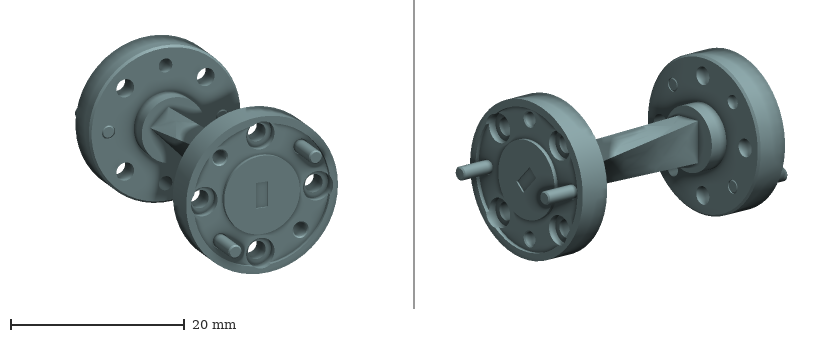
import cadquery as cq
import math

overall_length = 39.5
face_to_face = 31.75
half_length = face_to_face / 2

flange_diameter = 19.05
flange_thickness = 4.06
flange_chamfer = 0.25
boss_diameter = 7.95
boss_length = 2.27

recess_outer_diameter = 17.2
recess_inner_diameter = 9.5
recess_depth = 0.5

bolt_circle_radius = 14.29 / 2
screw_hole_diameter = 2.2
counterbore_diameter = 3.55
counterbore_depth = 1.5
align_hole_diameter = 1.7
align_hole_chamfer = 0.15

pin_diameter = 1.65
pin_chamfer = 0.17
pin_hole_chamfer = 0.1
left_pin_projection = 3.85
right_pin_projection = overall_length - face_to_face - left_pin_projection

tube_width = 5.05
tube_height = 3.2
opening_width = 3.1
opening_height = 1.55
opening_depth = 0.2
twist_angle = 45.0

quarter_turn = 90.0
half_turn = 2 * quarter_turn
screw_hole_count = 4

left_pin_angle = 0.0
right_pin_angle = left_pin_angle + twist_angle
left_long_axis = 135.0
right_long_axis = left_long_axis - twist_angle


def circle_point(angle):
    """Point (y, z) of the bolt circle at the given angle."""
    radians = math.radians(angle)
    return bolt_circle_radius * math.cos(radians), bolt_circle_radius * math.sin(radians)


def rod(diameter, x_start, x_end, center=(0, 0)):
    """Cylinder along X from x_start to x_end, centred at (y, z)."""
    return cq.Workplane("YZ", origin=(x_start, *center)).circle(diameter / 2).extrude(x_end - x_start)


def hole_mouth(diameter, chamfer, x, center):
    """Cone that chamfers the edge of a hole opening towards -X at x."""
    radius = diameter / 2
    base = cq.Vector(x, *center)
    return cq.Workplane(obj=cq.Solid.makeCone(radius + chamfer, radius, chamfer, base, cq.Vector(1, 0, 0)))


def rectangle_wire(x, width, height, long_axis):
    """Rectangle across the X axis with its long side along the long_axis angle."""
    turn = math.radians(long_axis)
    corners = []
    for along, across in ((1, 1), (-1, 1), (-1, -1), (1, -1)):
        u = along * width / 2
        v = across * height / 2
        y = u * math.cos(turn) - v * math.sin(turn)
        z = u * math.sin(turn) + v * math.cos(turn)
        corners.append(cq.Vector(x, y, z))
    return cq.Wire.makePolygon(corners, close=True)


def rectangle_prism(x_start, x_end, width, height, start_axis, end_axis):
    """Ruled solid between two rectangles."""
    start = rectangle_wire(x_start, width, height, start_axis)
    end = rectangle_wire(x_end, width, height, end_axis)
    return cq.Workplane(obj=cq.Solid.makeLoft([start, end], True))


def make_flange(pin_angle, long_axis):
    """Flange with its mating face at -X and its boss towards +X."""
    face = -half_length
    floor = face + recess_depth
    back = face + flange_thickness
    flange = rod(flange_diameter, face, back).faces(">X").chamfer(flange_chamfer)
    flange = flange.union(rod(boss_diameter, back, back + boss_length))

    recess = rod(recess_outer_diameter, face, floor).cut(rod(recess_inner_diameter, face, floor))
    flange = flange.cut(recess)

    for side in (0, half_turn):
        pin_point = circle_point(pin_angle + side)
        flange = flange.cut(rod(pin_diameter, face, back, pin_point))
        flange = flange.cut(hole_mouth(pin_diameter, pin_hole_chamfer, floor, pin_point))
        align_point = circle_point(pin_angle + quarter_turn + side)
        flange = flange.cut(rod(align_hole_diameter, face, back, align_point))
        flange = flange.cut(hole_mouth(align_hole_diameter, align_hole_chamfer, floor, align_point))

    for index in range(screw_hole_count):
        point = circle_point(pin_angle + quarter_turn / 2 + index * quarter_turn)
        flange = flange.cut(rod(screw_hole_diameter, face, back, point))
        flange = flange.cut(rod(counterbore_diameter, face, face + counterbore_depth, point))

    opening = rectangle_prism(face, face + opening_depth, opening_width, opening_height, long_axis, long_axis)
    return flange.cut(opening)


def make_twist():
    """Left flange, twisted tube and right flange as one solid."""
    tube_end = half_length - flange_thickness - boss_length
    tube = rectangle_prism(-tube_end, tube_end, tube_width, tube_height, left_long_axis, right_long_axis)
    left_flange = make_flange(left_pin_angle, left_long_axis)
    right_flange = make_flange(right_pin_angle, right_long_axis).mirror("YZ")
    return left_flange.union(tube).union(right_flange)


def make_pin(x_start, x_end, angle):
    """Dowel pin chamfered at both ends."""
    return rod(pin_diameter, x_start, x_end, circle_point(angle)).faces("<X or >X").chamfer(pin_chamfer)


twist = make_twist()
left_pins = []
right_pins = []
for side in (0, half_turn):
    left_pins.append(
        make_pin(-half_length - left_pin_projection, -half_length + flange_thickness, left_pin_angle + side)
    )
    right_pins.append(
        make_pin(half_length - flange_thickness, half_length + right_pin_projection, right_pin_angle + side)
    )

result = cq.Compound.makeCompound([twist.val(), *[pin.val() for pin in left_pins + right_pins]])